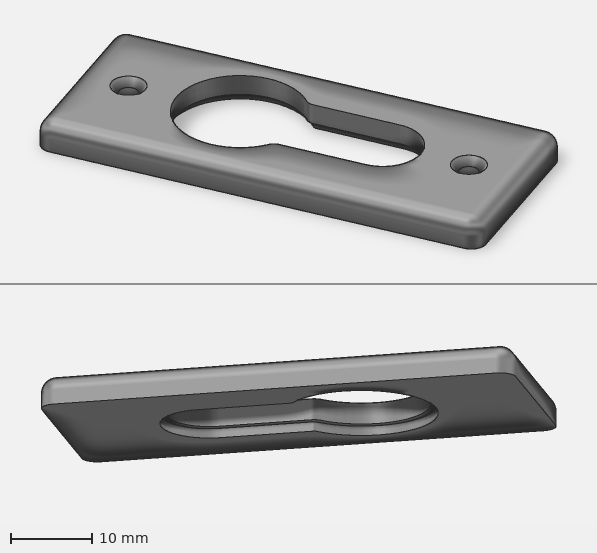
import cadquery as cq
import math

length = 60.0
width = 25.0
thickness = 3.9
edge_radius = 2.0

bore_x = -7.9
bore_radius = 8.6
slot_end_x = 11.35
slot_half_width = 5.15
throat_radius = 1.5

step_offset = 0.9
step_depth = 1.2

screw_x = 23.0
seat_top_radius = 2.3
seat_floor_radius = 1.25
seat_depth = 1.0


def rounded_plate():
    plate = cq.Workplane("XY").box(length, width, thickness, centered=(True, True, False))
    return plate.edges("|Z").fillet(edge_radius).faces(">Z").edges().fillet(edge_radius)


def keyhole(offset, height):
    """Solid with the outline of the opening, grown outward by offset, standing on the bottom face."""
    bore_r = bore_radius + offset
    half_width = slot_half_width + offset
    throat_r = throat_radius - offset

    throat_y = half_width + throat_r
    throat_reach = math.sqrt((bore_r + throat_r) ** 2 - throat_y**2)
    throat_x = bore_x + throat_reach
    bore_fraction = bore_r / (bore_r + throat_r)
    bore_end_x = bore_x + throat_reach * bore_fraction
    bore_end_y = throat_y * bore_fraction

    start_angle = math.atan2(-throat_y, -throat_reach)
    mid_angle = (start_angle - math.pi / 2) / 2
    throat_mid_x = throat_x + throat_r * math.cos(mid_angle)
    throat_mid_y = throat_y + throat_r * math.sin(mid_angle)

    return (
        cq.Workplane("XY")
        .moveTo(throat_x, half_width)
        .lineTo(slot_end_x, half_width)
        .threePointArc((slot_end_x + half_width, 0), (slot_end_x, -half_width))
        .lineTo(throat_x, -half_width)
        .threePointArc((throat_mid_x, -throat_mid_y), (bore_end_x, -bore_end_y))
        .threePointArc((bore_x - bore_r, 0), (bore_end_x, bore_end_y))
        .threePointArc((throat_mid_x, throat_mid_y), (throat_x, half_width))
        .close()
        .extrude(height)
    )


def screw_seat(x):
    seat = cq.Solid.makeCone(
        seat_floor_radius, seat_top_radius, seat_depth, pnt=cq.Vector(x, 0, thickness - seat_depth)
    )
    return cq.Workplane(obj=seat)


result = rounded_plate()
result = result.cut(keyhole(0, thickness))
result = result.cut(keyhole(step_offset, step_depth))
for seat_x in (-screw_x, screw_x):
    result = result.cut(screw_seat(seat_x))